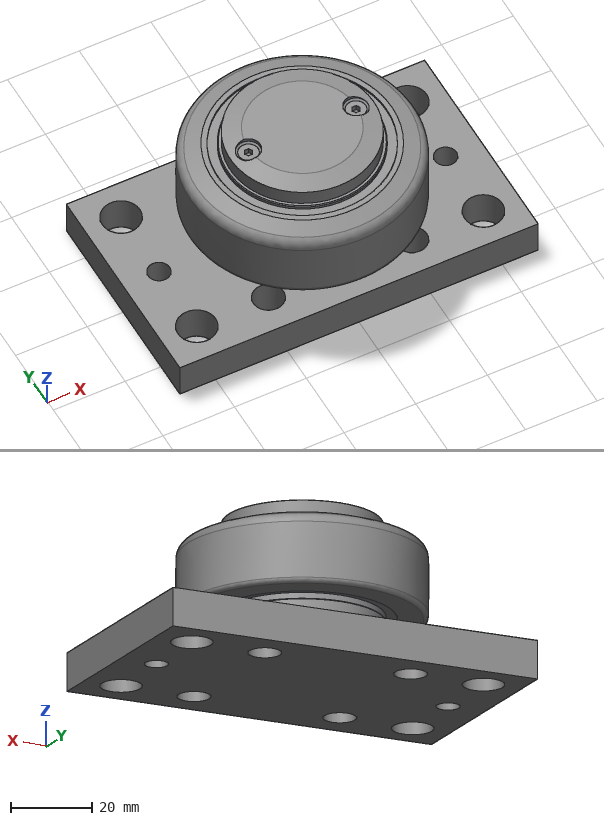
import cadquery as cq
import math

plate_length = 100.0
plate_width = 60.0
plate_thickness = 10.0
corner_hole_diameter = 10.5
inner_hole_diameter = 8.38
dowel_hole_diameter = 6.0
outer_hole_x = 40.0
inner_hole_x = 20.0
hole_row_y = 20.0

overall_height = 43.0
pin_diameter = 42.0
pin_chamfer = 0.25
neck_top = 16.0
neck_foot_diameter = pin_diameter - 2 * pin_chamfer
neck_foot_height = 0.25
collar_top = 37.5
cap_diameter = 40.0
cap_flat_diameter = 30.0
cap_bevel_angle = 15.0

roller_diameter = 62.5
roller_bottom = 17.0
roller_top = 37.0
roller_flat_diameter = 50.0
roller_bevel_angle = 20.0
roller_shoulder_radius = 3.0
roller_bottom_radius = 1.2
roller_crown_radius = 500.0

seal_recess_diameter = 47.0
seal_recess_depth = 0.5

screw_offset = 15.0
screw_bore_diameter = 6.5
screw_bore_depth = 0.9
screw_seat_diameter = 5.35
screw_face_depth = 1.3
hex_sides = 6
hex_across_flats = 2.0
hex_depth = 1.5


def drill_plate(plate, diameter, x, rows):
    """Drill through holes at both +x and -x, one for each Y in rows."""
    points = [(side * x, y) for side in (-1, 1) for y in rows]
    holes = cq.Workplane("XY").pushPoints(points).circle(diameter / 2).extrude(plate_thickness)
    return plate.cut(holes)


def make_plate():
    """Rectangular plate with its through holes."""
    plate = cq.Workplane("XY").rect(plate_length, plate_width).extrude(plate_thickness)
    outer_rows = (-hole_row_y, hole_row_y)
    plate = drill_plate(plate, corner_hole_diameter, outer_hole_x, outer_rows)
    plate = drill_plate(plate, inner_hole_diameter, inner_hole_x, outer_rows)
    return drill_plate(plate, dowel_hole_diameter, outer_hole_x, (0,))


def make_pin():
    """Stepped pin revolved about Z, from the plate to the bevelled cap."""
    pin_radius = pin_diameter / 2
    cap_radius = cap_diameter / 2
    flat_radius = cap_flat_diameter / 2
    bevel_drop = (cap_radius - flat_radius) * math.tan(math.radians(cap_bevel_angle))
    foot_top = plate_thickness + neck_foot_height
    return (
        cq.Workplane("XZ")
        .moveTo(0, plate_thickness)
        .lineTo(neck_foot_diameter / 2, plate_thickness)
        .lineTo(neck_foot_diameter / 2, foot_top)
        .lineTo(pin_radius, foot_top)
        .lineTo(pin_radius, neck_top - pin_chamfer)
        .lineTo(pin_radius - pin_chamfer, neck_top)
        .lineTo(pin_radius - pin_chamfer, roller_bottom + seal_recess_depth)
        .lineTo(pin_radius, roller_bottom + seal_recess_depth)
        .lineTo(pin_radius, collar_top - pin_chamfer)
        .lineTo(pin_radius - pin_chamfer, collar_top)
        .lineTo(cap_radius, collar_top)
        .lineTo(cap_radius, overall_height - bevel_drop)
        .lineTo(flat_radius, overall_height)
        .lineTo(0, overall_height)
        .close()
        .revolve(360, (0, 0, 0), (0, 1, 0))
    )


def make_roller():
    """Crowned roller with a bevelled, rounded top shoulder and a recess in each face."""
    radius = roller_diameter / 2
    flat_radius = roller_flat_diameter / 2
    bevel_drop = (radius - flat_radius) * math.tan(math.radians(roller_bevel_angle))
    bevel_bottom = roller_top - bevel_drop
    crown_height = bevel_bottom - roller_bottom
    crown_sag = roller_crown_radius - math.sqrt(roller_crown_radius**2 - (crown_height / 2) ** 2)
    edge_radius = radius - crown_sag
    recess_radius = seal_recess_diameter / 2
    recess_floor = roller_top - seal_recess_depth
    recess_ceiling = roller_bottom + seal_recess_depth
    roller = (
        cq.Workplane("XZ")
        .moveTo(0, recess_ceiling)
        .lineTo(recess_radius, recess_ceiling)
        .lineTo(recess_radius, roller_bottom)
        .lineTo(edge_radius, roller_bottom)
        .threePointArc((radius, roller_bottom + crown_height / 2), (edge_radius, bevel_bottom))
        .lineTo(flat_radius, roller_top)
        .lineTo(recess_radius, roller_top)
        .lineTo(recess_radius, recess_floor)
        .lineTo(0, recess_floor)
        .close()
        .revolve(360, (0, 0, 0), (0, 1, 0))
    )
    shoulder_edge = cq.selectors.NearestToPointSelector((0, 0, bevel_bottom))
    roller = roller.edges(shoulder_edge).fillet(roller_shoulder_radius)
    outer_rim = cq.selectors.RadiusNthSelector(-1)
    return roller.faces("<Z").edges(outer_rim).fillet(roller_bottom_radius)


def cut_cap_screw(body, x):
    """Sunken screw head: a bore tapering to a flat face with a hexagon socket."""
    bore_radius = screw_bore_diameter / 2
    seat_radius = screw_seat_diameter / 2
    bore_end = overall_height - screw_bore_depth
    face_height = overall_height - screw_face_depth
    bore = (
        cq.Workplane("XZ")
        .moveTo(0, face_height)
        .lineTo(seat_radius, face_height)
        .lineTo(bore_radius, bore_end)
        .lineTo(bore_radius, overall_height)
        .lineTo(0, overall_height)
        .close()
        .revolve(360, (0, 0, 0), (0, 1, 0))
    )
    hex_across_corners = hex_across_flats / math.cos(math.pi / hex_sides)
    socket = (
        cq.Workplane("XY", origin=(0, 0, face_height))
        .polygon(hex_sides, hex_across_corners)
        .extrude(-hex_depth)
    )
    return body.cut(bore.union(socket).translate((x, 0, 0)))


result = make_plate().union(make_pin()).union(make_roller())
for screw_x in (-screw_offset, screw_offset):
    result = cut_cap_screw(result, screw_x)